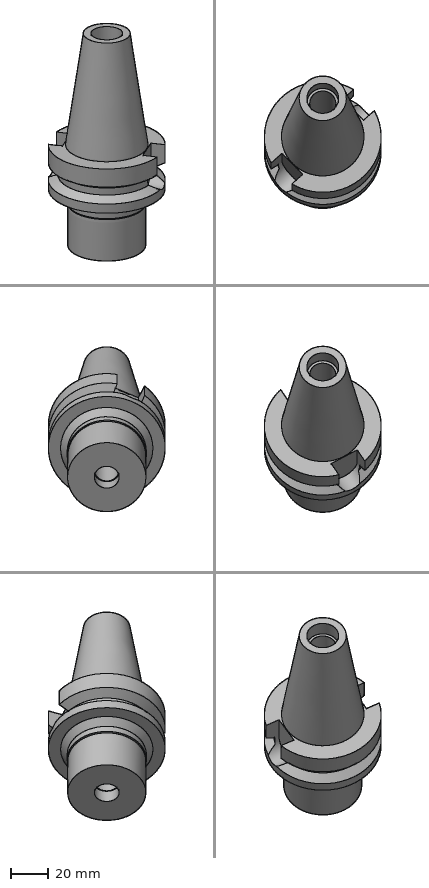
import cadquery as cq
import math

total_height = 125.4

taper_large_radius = 22.2
taper_length = 65.3
taper_rate = 7 / 24
taper_small_radius = taper_large_radius - taper_length * taper_rate / 2
taper_base_z = total_height - taper_length

flange_radius = 31.5
flange_top_z = 59.5
flange_bottom_z = 33.2
groove_radius = 26.3
groove_centre_z = 43.7
groove_floor_width = 4.1
groove_flank_angle = 30.0
groove_flank_height = (flange_radius - groove_radius) * math.tan(math.radians(groove_flank_angle))
groove_floor_top_z = groove_centre_z + groove_floor_width / 2
groove_floor_bottom_z = groove_centre_z - groove_floor_width / 2

collar_radius = 21.3
collar_cone_radius = 24.8
collar_top_z = 29.2
collar_bottom_z = 25.3

slot_width = 16.3
slot_face_x = 22.5
slot_bottom_z = 37.4

nut_radius = 21.1
nut_top_radius = 21.0
nut_top_z = 24.6
nut_shoulder_z = 22.7
spigot_radius = 16.5
spigot_bottom_z = 8.2

counterbore_radius = 8.5
counterbore_depth = 8.8
holder_bore_radius = 7.0
nut_bore_radius = 6.6


def revolve_profile(points):
    """Turn a closed (radius, z) outline around the Z axis."""
    return cq.Workplane("XZ").polyline(points).close().revolve(360, (0, 0, 0), (0, 1, 0))


def drive_slot(side):
    """Cutter for a round-bottomed slot, open at the top; side is -1 or +1 along X."""
    arc_centre_z = slot_bottom_z + slot_width / 2
    depth = flange_radius - slot_face_x
    return (
        cq.Workplane("YZ", origin=(side * slot_face_x, 0, 0))
        .moveTo(-slot_width / 2, flange_top_z)
        .lineTo(-slot_width / 2, arc_centre_z)
        .threePointArc((0, slot_bottom_z), (slot_width / 2, arc_centre_z))
        .lineTo(slot_width / 2, flange_top_z)
        .close()
        .extrude(side * depth)
    )


def make_holder():
    """Taper, grooved flange, collar and spigot in one turned body, bored through."""
    counterbore_z = total_height - counterbore_depth
    body = revolve_profile([
        (counterbore_radius, total_height),
        (taper_small_radius, total_height),
        (taper_large_radius, taper_base_z),
        (taper_large_radius, flange_top_z),
        (flange_radius, flange_top_z),
        (flange_radius, groove_floor_top_z + groove_flank_height),
        (groove_radius, groove_floor_top_z),
        (groove_radius, groove_floor_bottom_z),
        (flange_radius, groove_floor_bottom_z - groove_flank_height),
        (flange_radius, flange_bottom_z),
        (collar_cone_radius, flange_bottom_z),
        (collar_radius, collar_top_z),
        (collar_radius, collar_bottom_z),
        (spigot_radius, collar_bottom_z),
        (spigot_radius, spigot_bottom_z),
        (holder_bore_radius, spigot_bottom_z),
        (holder_bore_radius, counterbore_z),
        (counterbore_radius, counterbore_z),
    ])
    for side in (-1, 1):
        body = body.cut(drive_slot(side))
    return body


def make_nut():
    """Clamping nut with a slightly tapered top edge and a recess for the spigot."""
    return revolve_profile([
        (nut_bore_radius, 0),
        (nut_radius, 0),
        (nut_radius, nut_shoulder_z),
        (nut_top_radius, nut_top_z),
        (spigot_radius, nut_top_z),
        (spigot_radius, spigot_bottom_z),
        (nut_bore_radius, spigot_bottom_z),
    ])


holder = make_holder()
nut = make_nut()

result = cq.Compound.makeCompound([holder.val(), nut.val()])